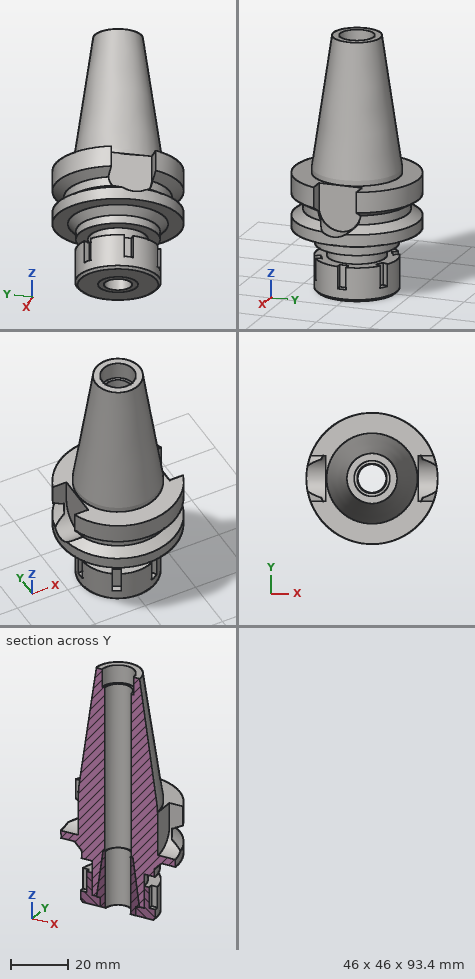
import cadquery as cq
import math

TOTAL_HEIGHT = 93.4
NUT_TOP = 12.6
COLLAR_BOTTOM = 17.1
COLLAR_TOP = 20.2
FLANGE_BOTTOM = 23.0
FLANGE_TOP = 43.0
TAPER_BASE = 44.9

TAPER_BASE_RADIUS = 15.9
TAPER_TIP_RADIUS = 8.8
FLANGE_RADIUS = 23.02
COLLAR_RADIUS = 14.8
NECK_RADIUS = 10.6

GROOVE_RADIUS = 19.0
GROOVE_CENTRE_Z = 31.4
GROOVE_FLOOR_WIDTH = 3.4
GROOVE_WALL_SLOPE = 30.0

KEY_SLOT_WIDTH = 16.1
KEY_SLOT_BOTTOM = 26.1
KEY_SLOT_FLOOR_X = 16.2

HOLDER_BORE_RADIUS = 5.2
COUNTERBORE_RADIUS = 6.3
COUNTERBORE_DEPTH = 6.9

NUT_RADIUS = 15.0
NUT_CHAMFER = 0.9
NUT_LIP_HEIGHT = 3.7
SPANNER_SLOT_COUNT = 6
SPANNER_SLOT_WIDTH = 3.2
SPANNER_SLOT_BOTTOM = 4.5
SPANNER_SLOT_FLOOR_RADIUS = 12.6

COLLET_BORE_RADIUS = 4.95
COLLET_FRONT_RADIUS = 7.0
COLLET_SHOULDER_RADIUS = 8.5
COLLET_TAPER_LENGTH = 18.7
COLLET_TAPER_ANGLE = 8.0
COLLET_TOP = NUT_LIP_HEIGHT + COLLET_TAPER_LENGTH
COLLET_TOP_RADIUS = COLLET_SHOULDER_RADIUS - COLLET_TAPER_LENGTH * math.tan(math.radians(COLLET_TAPER_ANGLE))


def revolve_profile(points):
    """Turn a closed outline of (radius, z) points around the Z axis."""
    return cq.Workplane("XZ").polyline(points).close().revolve(360, (0, 0, 0), (0, 1, 0))


def cylinder(radius, bottom, top):
    return cq.Workplane("XY").workplane(offset=bottom).circle(radius).extrude(top - bottom)


def gripper_groove():
    """Ring with a V section that cuts the groove into the flange rim."""
    depth = FLANGE_RADIUS - GROOVE_RADIUS
    half_floor = GROOVE_FLOOR_WIDTH / 2
    half_mouth = half_floor + depth * math.tan(math.radians(GROOVE_WALL_SLOPE))
    return revolve_profile([
        (GROOVE_RADIUS, GROOVE_CENTRE_Z - half_floor),
        (FLANGE_RADIUS, GROOVE_CENTRE_Z - half_mouth),
        (FLANGE_RADIUS, GROOVE_CENTRE_Z + half_mouth),
        (GROOVE_RADIUS, GROOVE_CENTRE_Z + half_floor),
    ])


def key_slot(side):
    """Slot with a round lower end, open at the flange top and rim; side is -1 or +1 along X."""
    half_width = KEY_SLOT_WIDTH / 2
    arc_centre_z = KEY_SLOT_BOTTOM + half_width
    depth = FLANGE_RADIUS - KEY_SLOT_FLOOR_X
    return (
        cq.Workplane("YZ", origin=(side * KEY_SLOT_FLOOR_X, 0, 0))
        .moveTo(-half_width, FLANGE_TOP)
        .lineTo(-half_width, arc_centre_z)
        .threePointArc((0, KEY_SLOT_BOTTOM), (half_width, arc_centre_z))
        .lineTo(half_width, FLANGE_TOP)
        .close()
        .extrude(side * depth)
    )


def collet_seat():
    """Tapered recess in the holder nose that matches the collet."""
    return revolve_profile([
        (0, NUT_LIP_HEIGHT),
        (COLLET_SHOULDER_RADIUS, NUT_LIP_HEIGHT),
        (COLLET_TOP_RADIUS, COLLET_TOP),
        (0, COLLET_TOP),
    ])


def make_holder():
    cone_top_radius = COLLAR_RADIUS + FLANGE_BOTTOM - COLLAR_TOP
    body = revolve_profile([
        (0, NUT_LIP_HEIGHT),
        (NECK_RADIUS, NUT_LIP_HEIGHT),
        (NECK_RADIUS, COLLAR_BOTTOM),
        (COLLAR_RADIUS, COLLAR_BOTTOM),
        (COLLAR_RADIUS, COLLAR_TOP),
        (cone_top_radius, FLANGE_BOTTOM),
        (FLANGE_RADIUS, FLANGE_BOTTOM),
        (FLANGE_RADIUS, FLANGE_TOP),
        (TAPER_BASE_RADIUS, FLANGE_TOP),
        (TAPER_BASE_RADIUS, TAPER_BASE),
        (TAPER_TIP_RADIUS, TOTAL_HEIGHT),
        (0, TOTAL_HEIGHT),
    ])
    body = body.cut(gripper_groove())
    for side in (-1, 1):
        body = body.cut(key_slot(side))
    body = body.cut(cylinder(HOLDER_BORE_RADIUS, NUT_LIP_HEIGHT, TOTAL_HEIGHT))
    body = body.cut(cylinder(COUNTERBORE_RADIUS, TOTAL_HEIGHT - COUNTERBORE_DEPTH, TOTAL_HEIGHT))
    return body.cut(collet_seat())


def spanner_slot(angle):
    """Slot in the nut wall, open at the top and outside, turned about Z by the angle."""
    return (
        cq.Workplane("XY")
        .box(
            NUT_RADIUS,
            SPANNER_SLOT_WIDTH,
            NUT_TOP - SPANNER_SLOT_BOTTOM,
            centered=(False, True, False),
        )
        .translate((SPANNER_SLOT_FLOOR_RADIUS, 0, SPANNER_SLOT_BOTTOM))
        .rotate((0, 0, 0), (0, 0, 1), angle)
    )


def make_nut():
    nut = cylinder(NUT_RADIUS, 0, NUT_TOP).faces("<Z").chamfer(NUT_CHAMFER)
    nut = nut.cut(cylinder(NECK_RADIUS, NUT_LIP_HEIGHT, NUT_TOP))
    nut = nut.cut(cylinder(COLLET_FRONT_RADIUS, 0, NUT_LIP_HEIGHT))
    for index in range(SPANNER_SLOT_COUNT):
        nut = nut.cut(spanner_slot(index * 360 / SPANNER_SLOT_COUNT))
    return nut


def make_collet():
    return revolve_profile([
        (COLLET_BORE_RADIUS, 0),
        (COLLET_FRONT_RADIUS, 0),
        (COLLET_FRONT_RADIUS, NUT_LIP_HEIGHT),
        (COLLET_SHOULDER_RADIUS, NUT_LIP_HEIGHT),
        (COLLET_TOP_RADIUS, COLLET_TOP),
        (COLLET_BORE_RADIUS, COLLET_TOP),
    ])


holder = make_holder()
nut = make_nut()
collet = make_collet()

result = cq.Compound.makeCompound([holder.val(), nut.val(), collet.val()])